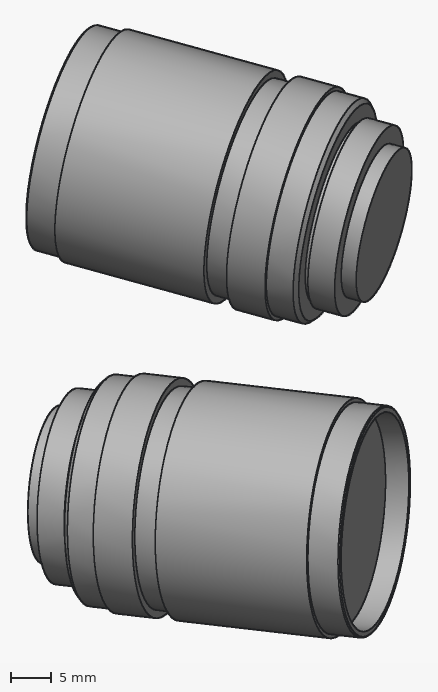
import cadquery as cq

length = 41.4
body_radius = 14.8
rim_radius = 14.3
groove_radius = 13.8
neck_radius = 11.45
flange_radius = 12.1
mount_radius = 9.75

rim_end = 4.0
groove_start = 23.45
groove_end = 26.37
collar_end = 31.4
shoulder_end = 35.4
flange_start = 35.98
flange_end = 39.45

rim_chamfer = 0.15
shoulder_chamfer = 0.55
recess_radius = 13.5
recess_depth = 3.0

profile = [
    (recess_depth, 0),
    (recess_depth, recess_radius),
    (0, recess_radius),
    (0, rim_radius - rim_chamfer),
    (rim_chamfer, rim_radius),
    (rim_end, rim_radius),
    (rim_end, body_radius),
    (groove_start, body_radius),
    (groove_start, groove_radius),
    (groove_end, groove_radius),
    (groove_end, body_radius),
    (collar_end, body_radius),
    (collar_end, rim_radius),
    (shoulder_end - shoulder_chamfer, rim_radius),
    (shoulder_end, rim_radius - shoulder_chamfer),
    (shoulder_end, neck_radius),
    (flange_start, neck_radius),
    (flange_start, flange_radius),
    (flange_end, flange_radius),
    (flange_end, mount_radius),
    (length, mount_radius),
    (length, 0),
]

result = cq.Workplane("XY").polyline(profile).close().revolve(360, (0, 0, 0), (1, 0, 0))